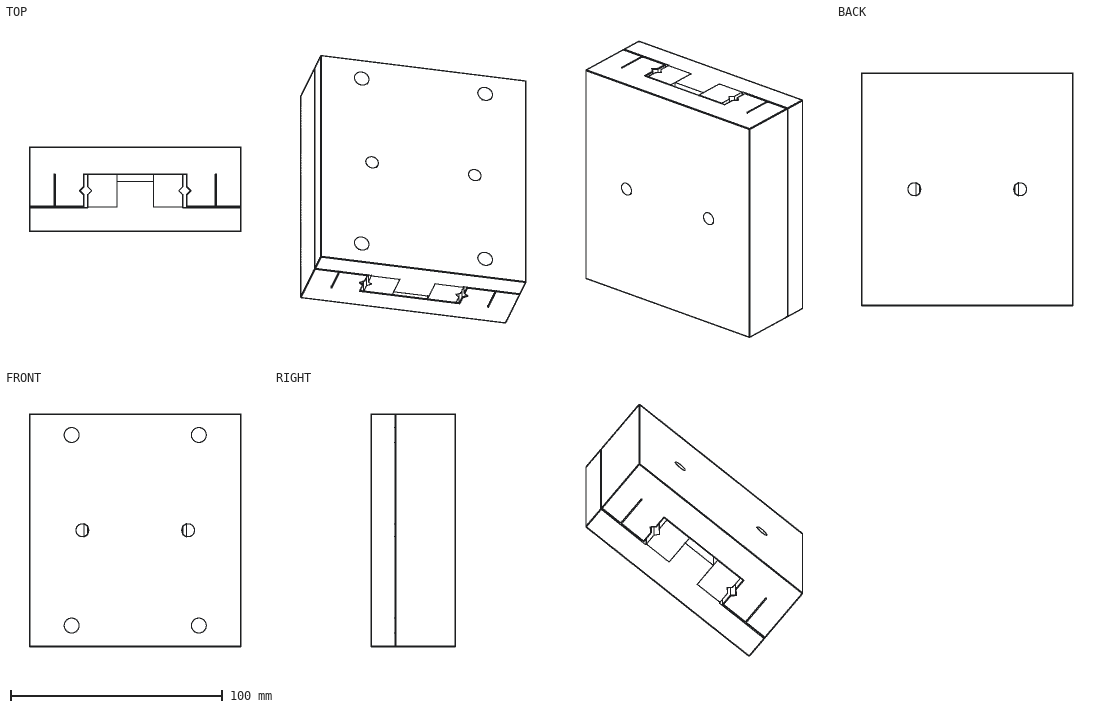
import cadquery as cq

WIDTH = 100.0
DEPTH = 40.0
HEIGHT = 110.0
EDGE_CHAMFER = 0.3

FRONT_Y = -DEPTH / 2
BACK_Y = DEPTH / 2

SEAT_Y = -8.2
GAP = 0.4
PLATE_Y = SEAT_Y - GAP
CHANNEL_Y = 6.9
RIB_Y = 3.7
SLIT_Y = 7.2

CHANNEL_X = 24.1
RAIL_OUTER_X = 22.4
RAIL_INNER_X = 8.6
SLIT_X = 38.1
SLIT_WIDTH = 0.5

GROOVE_Y = (SEAT_Y + CHANNEL_Y) / 2
GROOVE_DEPTH = 1.9

MOUNT_DIAMETER = 7.0
MOUNT_X = 30.0
MOUNT_Z = 45.0
ACCESS_DIAMETER = 6.0
ACCESS_X = 25.0

SIDES = (-1, 1)

ACCESS_POINTS = [(side * ACCESS_X, 0) for side in SIDES]
MOUNT_POINTS = [(x_side * MOUNT_X, z_side * MOUNT_Z) for x_side in SIDES for z_side in SIDES]


def block(x_min, x_max, y_min, y_max):
    """Full-height block between the given X and Y limits."""
    return cq.Workplane("XY").box(x_max - x_min, y_max - y_min, HEIGHT).translate(
        ((x_min + x_max) / 2, (y_min + y_max) / 2, 0)
    )


def v_groove(face_x):
    """Full-height diamond bar that cuts a V-groove into a face at face_x."""
    return (
        cq.Workplane("XY")
        .workplane(offset=-HEIGHT / 2)
        .polyline([
            (face_x - GROOVE_DEPTH, GROOVE_Y),
            (face_x, GROOVE_Y - GROOVE_DEPTH),
            (face_x + GROOVE_DEPTH, GROOVE_Y),
            (face_x, GROOVE_Y + GROOVE_DEPTH),
        ])
        .close()
        .extrude(HEIGHT)
    )


def bores(points, diameter, y_min, y_max):
    """Cylinders along Y at the given (X, Z) points."""
    return (
        cq.Workplane("XZ", origin=(0, y_max, 0))
        .pushPoints(points)
        .circle(diameter / 2)
        .extrude(y_max - y_min)
    )


def make_base():
    """Base plate with the rail seat and the central rib."""
    plate = block(-WIDTH / 2, WIDTH / 2, FRONT_Y, PLATE_Y)
    plate = plate.faces("<Y").edges().chamfer(EDGE_CHAMFER)
    plate = plate.edges("|Y").chamfer(EDGE_CHAMFER)
    seat = block(-RAIL_OUTER_X, RAIL_OUTER_X, PLATE_Y, SEAT_Y)
    rib = block(-RAIL_INNER_X, RAIL_INNER_X, SEAT_Y, RIB_Y)
    base = plate.union(seat).union(rib)
    base = base.cut(bores(MOUNT_POINTS, MOUNT_DIAMETER, FRONT_Y, PLATE_Y))
    return base.cut(bores(ACCESS_POINTS, ACCESS_DIAMETER, FRONT_Y, PLATE_Y))


def make_rail(side):
    """Guide rail beside the rib, on the given side of X."""
    limits = sorted((side * RAIL_INNER_X, side * RAIL_OUTER_X))
    rail = block(*limits, SEAT_Y, CHANNEL_Y)
    return rail.cut(v_groove(side * RAIL_OUTER_X))


def make_carriage():
    """U-shaped carriage around the rails."""
    carriage = block(-WIDTH / 2, WIDTH / 2, SEAT_Y, BACK_Y)
    carriage = carriage.cut(block(-CHANNEL_X, CHANNEL_X, SEAT_Y, CHANNEL_Y))
    for side in SIDES:
        carriage = carriage.cut(v_groove(side * CHANNEL_X))
    carriage = carriage.faces("<Z or >Z or >Y").edges().chamfer(EDGE_CHAMFER)
    for side in SIDES:
        middle = side * SLIT_X
        slit = block(middle - SLIT_WIDTH / 2, middle + SLIT_WIDTH / 2, SEAT_Y, SLIT_Y)
        carriage = carriage.cut(slit)
    return carriage.cut(bores(ACCESS_POINTS, ACCESS_DIAMETER, CHANNEL_Y, BACK_Y))


base = make_base()
rails = [make_rail(side) for side in SIDES]
carriage = make_carriage()
result = cq.Compound.makeCompound([base.val(), carriage.val(), *[rail.val() for rail in rails]])